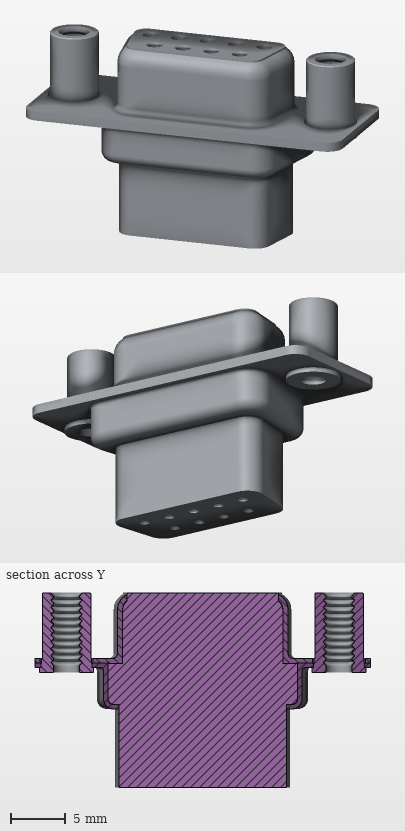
import cadquery as cq
import math


SIDE_ANGLE = math.radians(10)
D_TAPER = math.tan(SIDE_ANGLE)

TOP_Z = 6.5
REAR_SHELL_BOTTOM_Z = -4.2
BOTTOM_Z = -11.4

FLANGE_LENGTH = 30.8
FLANGE_WIDTH = 12.56
FLANGE_CORNER_RADIUS = 1.5
FRONT_WALL = 0.46
REAR_WALL = 0.4

FRONT_LENGTH = 16.3
FRONT_WIDTH = 7.9
FRONT_CORNER_RADIUS = 2.0
FRONT_TOP_RADIUS = 1.55
FRONT_BASE_RADIUS = 0.5
OPENING_INSET = 0.85

REAR_LENGTH = 19.4
REAR_WIDTH = 10.9
REAR_CORNER_RADIUS = 2.06
REAR_BOTTOM_RADIUS = 0.95
REAR_BASE_RADIUS = 0.25

TAIL_LENGTH = 16.05
TAIL_WIDTH = 7.02
TAIL_CORNER_RADIUS = 1.53

CONTACT_PITCH = 2.77
CONTACT_ROW_SPACING = 2.84
LONG_ROW_COUNT = 5
SHORT_ROW_COUNT = 4
CONTACT_HOLE_DIAMETER = 0.95
CONTACT_MOUTH_DIAMETER = 1.5
CONTACT_MOUTH_DEPTH = 0.55

LOCK_SPACING = 25.0
LOCK_DIAMETER = 4.5
LOCK_CHAMFER = 0.1
LOCK_SHOULDER_DIAMETER = 4.66
LOCK_HOLE_DIAMETER = 4.86
LOCK_COLLAR_DIAMETER = 5.0
LOCK_COLLAR_THICKNESS = 0.43
THREAD_MINOR_DIAMETER = 2.3
THREAD_MAJOR_DIAMETER = 2.84
THREAD_PITCH = 0.635
THREAD_CREST_LENGTH = THREAD_PITCH / 8
THREAD_MOUTH_DIAMETER = 2.96
THREAD_MOUTH_DEPTH = 0.06

SELECT_MARGIN = 0.1

LOCK_POINTS = [(-LOCK_SPACING / 2, 0), (LOCK_SPACING / 2, 0)]


def d_prism(length, width, corner_radius, bottom_z, top_z):
    """Upright prism with a D outline; length is its full X size, across the long +Y side."""
    half_width = width / 2
    arc_y = half_width - corner_radius
    upper_arc_x = length / 2 - corner_radius
    lower_arc_x = upper_arc_x - 2 * arc_y * D_TAPER
    side_x = corner_radius / math.cos(SIDE_ANGLE)
    upper_x = upper_arc_x + side_x + corner_radius * D_TAPER
    lower_x = lower_arc_x + side_x - corner_radius * D_TAPER
    outline = [
        (-upper_x, half_width),
        (upper_x, half_width),
        (lower_x, -half_width),
        (-lower_x, -half_width),
    ]
    prism = cq.Workplane("XY", origin=(0, 0, bottom_z)).polyline(outline).close().extrude(top_z - bottom_z)
    return prism.edges("|Z").fillet(corner_radius)


def front_prism(inset, bottom_z, top_z):
    """D prism set in from the outer wall of the front dome."""
    return d_prism(
        FRONT_LENGTH - 2 * inset, FRONT_WIDTH - 2 * inset, FRONT_CORNER_RADIUS - inset, bottom_z, top_z
    )


def rear_prism(inset, bottom_z, top_z):
    """D prism set in from the outer wall of the rear cup."""
    return d_prism(
        REAR_LENGTH - 2 * inset, REAR_WIDTH - 2 * inset, REAR_CORNER_RADIUS - inset, bottom_z, top_z
    )


def flange(bottom_z, top_z):
    """Rounded flange plate of one shell."""
    plate = cq.Workplane("XY", origin=(0, 0, bottom_z)).rect(FLANGE_LENGTH, FLANGE_WIDTH)
    return plate.extrude(top_z - bottom_z).edges("|Z").fillet(FLANGE_CORNER_RADIUS)


def base_edges(length, width, z):
    """Selector for the edges around the foot of a shell wall of this size at height z."""
    return cq.selectors.BoxSelector(
        (-length / 2 - SELECT_MARGIN, -width / 2 - SELECT_MARGIN, z - SELECT_MARGIN),
        (length / 2 + SELECT_MARGIN, width / 2 + SELECT_MARGIN, z + SELECT_MARGIN),
        boundingbox=True,
    )


def lock_cylinders(diameter, bottom_z, top_z):
    """One cylinder at each screw lock position."""
    circles = cq.Workplane("XY", origin=(0, 0, bottom_z)).pushPoints(LOCK_POINTS).circle(diameter / 2)
    return circles.extrude(top_z - bottom_z)


def contact_row(count, y):
    """Evenly spaced contact positions centred on X = 0."""
    return [((i - (count - 1) / 2) * CONTACT_PITCH, y) for i in range(count)]


def make_insulator_blank():
    """Insulator before its contact holes: tail, collar in the rear cup, plug in the front dome."""
    tail = d_prism(TAIL_LENGTH, TAIL_WIDTH, TAIL_CORNER_RADIUS, BOTTOM_Z, 0)
    collar = rear_prism(REAR_WALL, REAR_SHELL_BOTTOM_Z + REAR_WALL, 0)
    collar = collar.faces("<Z").edges().fillet(REAR_BOTTOM_RADIUS - REAR_WALL)
    plug = front_prism(FRONT_WALL, 0, TOP_Z - FRONT_WALL)
    plug = plug.faces(">Z").edges().fillet(FRONT_TOP_RADIUS - FRONT_WALL)
    nose = front_prism(OPENING_INSET, 0, TOP_Z)
    return tail.union(collar).union(plug).union(nose)


def make_insulator():
    insulator = make_insulator_blank()
    points = contact_row(LONG_ROW_COUNT, CONTACT_ROW_SPACING / 2)
    points += contact_row(SHORT_ROW_COUNT, -CONTACT_ROW_SPACING / 2)
    hole_radius = CONTACT_HOLE_DIAMETER / 2
    mouth_radius = CONTACT_MOUTH_DIAMETER / 2
    hole_profile = [
        (0, BOTTOM_Z),
        (hole_radius, BOTTOM_Z),
        (hole_radius, TOP_Z - CONTACT_MOUTH_DEPTH),
        (mouth_radius, TOP_Z),
        (0, TOP_Z),
    ]
    hole = cq.Workplane("XZ").polyline(hole_profile).close().revolve(360, (0, 0), (0, 1))
    for x, y in points:
        insulator = insulator.cut(hole.translate((x, y, 0)))
    return insulator


def make_front_shell():
    """Flanged dome; the insulator blank leaves its cavity and its opening."""
    dome = front_prism(0, 0, TOP_Z).faces(">Z").edges().fillet(FRONT_TOP_RADIUS)
    shell = flange(0, FRONT_WALL).union(dome)
    shell = shell.edges(base_edges(FRONT_LENGTH, FRONT_WIDTH, FRONT_WALL)).fillet(FRONT_BASE_RADIUS)
    return shell.cut(make_insulator_blank()).cut(lock_cylinders(LOCK_HOLE_DIAMETER, 0, FRONT_WALL))


def make_rear_shell():
    """Flanged cup; the insulator blank leaves its cavity and its opening."""
    cup = rear_prism(0, REAR_SHELL_BOTTOM_Z, 0).faces("<Z").edges().fillet(REAR_BOTTOM_RADIUS)
    shell = flange(-REAR_WALL, 0).union(cup)
    shell = shell.edges(base_edges(REAR_LENGTH, REAR_WIDTH, -REAR_WALL)).fillet(REAR_BASE_RADIUS)
    return shell.cut(make_insulator_blank()).cut(lock_cylinders(LOCK_SHOULDER_DIAMETER, -REAR_WALL, 0))


def make_thread_bore(bottom_z):
    """Threaded hole through a screw lock, its thread formed as evenly spaced ring grooves."""
    minor_radius = THREAD_MINOR_DIAMETER / 2
    major_radius = THREAD_MAJOR_DIAMETER / 2
    thread_top_z = TOP_Z - THREAD_MOUTH_DEPTH
    crest_count = math.floor((thread_top_z - bottom_z) / THREAD_PITCH)
    profile = [(0, TOP_Z), (THREAD_MOUTH_DIAMETER / 2, TOP_Z)]
    for i in range(crest_count):
        root_z = thread_top_z - i * THREAD_PITCH
        crest_z = root_z - THREAD_PITCH / 2
        profile.append((major_radius, root_z))
        profile.append((minor_radius, crest_z + THREAD_CREST_LENGTH / 2))
        profile.append((minor_radius, crest_z - THREAD_CREST_LENGTH / 2))
    profile += [(minor_radius, bottom_z), (0, bottom_z)]
    return cq.Workplane("XZ").polyline(profile).close().revolve(360, (0, 0), (0, 1))


def make_screw_lock():
    """Threaded barrel with a shoulder in the flanges and a collar under them."""
    collar_bottom_z = -REAR_WALL - LOCK_COLLAR_THICKNESS
    collar = cq.Workplane("XY", origin=(0, 0, collar_bottom_z)).circle(LOCK_COLLAR_DIAMETER / 2)
    collar = collar.extrude(LOCK_COLLAR_THICKNESS)
    shoulder = cq.Workplane("XY", origin=(0, 0, -REAR_WALL)).circle(LOCK_SHOULDER_DIAMETER / 2)
    shoulder = shoulder.extrude(REAR_WALL + FRONT_WALL)
    barrel = cq.Workplane("XY", origin=(0, 0, FRONT_WALL)).circle(LOCK_DIAMETER / 2)
    barrel = barrel.extrude(TOP_Z - FRONT_WALL).faces(">Z").chamfer(LOCK_CHAMFER)
    return collar.union(shoulder).union(barrel).cut(make_thread_bore(collar_bottom_z))


insulator = make_insulator()
front_shell = make_front_shell()
rear_shell = make_rear_shell()
screw_locks = [make_screw_lock().translate((x, y, 0)) for x, y in LOCK_POINTS]

result = cq.Compound.makeCompound(
    [insulator.val(), front_shell.val(), rear_shell.val(), *[lock.val() for lock in screw_locks]]
)